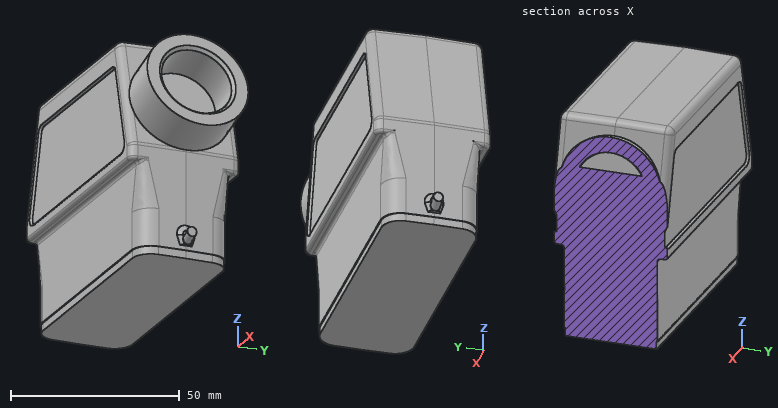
import cadquery as cq
import math

HOUSING_LENGTH = 79.2
HOUSING_WIDTH = 36.0
HOUSING_HEIGHT = 70.3
DRAFT_ANGLE = 1.0

HOOD_BOTTOM_Z = 29.3
BEND_Z = 34.3
SLOPE_ANGLE = 15.0
HOOD_EDGE_RADIUS = 2.5
BEND_RADIUS = 4.0
SHELF_RADIUS = 1.0

BASE_WIDTH = 29.6
BASE_OVERLAP = 2.5
CORNER_RADIUS_LOW = 6.2
CORNER_RADIUS_TOP = 2.8
CORNER_TAPER_Z = 14.5
FOOT_HEIGHT = 2.5
FOOT_INSET = 0.27

PANEL_BOTTOM_Z = 32.7
PANEL_TOP_Z = 62.4
PANEL_END_MARGIN = 3.9
PANEL_CORNER_RADIUS = 2.5
PANEL_DEPTH = 0.8
PANEL_WALL_ANGLE = 30.0

COLLAR_DIAMETER = 32.5
COLLAR_LENGTH = 13.5
COLLAR_EMBED = 8.0
BORE_DIAMETER = 22.5
BORE_CHAMFER = 1.0

PEG_DIAMETER = 3.0
PEG_SPAN = 88.3
PEG_Z = 6.85
PEG_EMBED = 1.5
FLARE_LENGTH = 1.2
FLARE_RADIUS = 2.9
FLARE_RISE = 0.6
KEEL_ROOT_WIDTH = 3.8
KEEL_TIP_WIDTH = 2.4
KEEL_BOTTOM_Z = 3.9

EDGE_SEARCH = 1.0
HALF_LENGTH = HOUSING_LENGTH / 2
HALF_WIDTH = HOUSING_WIDTH / 2
SLOPE_TAN = math.tan(math.radians(SLOPE_ANGLE))
DRAFT_TAN = math.tan(math.radians(DRAFT_ANGLE))


def slope_x(z):
    """Mid-plane half length of the sloping end at height z."""
    return HALF_LENGTH - (z - BEND_Z) * SLOPE_TAN


def mirrored_outline(half_points):
    """Close a right-hand chain of (x, z) points with its mirror image."""
    return half_points + [(-x, z) for x, z in reversed(half_points)]


def cross_edges(body, z):
    """Edges that run across the housing near height z."""
    band = cq.selectors.BoxSelector(
        (-HOUSING_LENGTH, -HALF_WIDTH + EDGE_SEARCH, z - EDGE_SEARCH),
        (HOUSING_LENGTH, HALF_WIDTH - EDGE_SEARCH, z + EDGE_SEARCH),
    )
    return body.edges(band).edges("not |X")


def make_half_hood():
    """Hood on the -Y side of the mid-plane, with all its outer edges rounded."""
    outline = mirrored_outline([
        (HALF_LENGTH, 0),
        (HALF_LENGTH, BEND_Z),
        (slope_x(HOUSING_HEIGHT), HOUSING_HEIGHT),
    ])
    half = cq.Workplane("XZ").polyline(outline).close().extrude(HALF_WIDTH, taper=DRAFT_ANGLE)
    below_hood = cq.Workplane("XY").box(
        2 * HOUSING_LENGTH, 2 * HOUSING_WIDTH, HOOD_BOTTOM_Z, centered=(True, True, False)
    )
    half = half.cut(below_hood)

    half = cross_edges(half, BEND_Z).fillet(BEND_RADIUS)
    top_corners = cross_edges(half, HOUSING_HEIGHT)
    side_outline = half.faces("<Y").edges("not <Z")
    half = side_outline.add(top_corners).fillet(HOOD_EDGE_RADIUS)
    return half.faces("<Z").edges("not >Y").fillet(SHELF_RADIUS)


def half_base_section(z, corner_radius, inset=0.0):
    """Half footprint of the base at height z, its two outer corners rounded."""
    half_width = BASE_WIDTH / 2 - inset
    mid_x = HALF_LENGTH - inset
    side_x = mid_x - half_width * DRAFT_TAN
    points = [(-mid_x, 0), (-side_x, -half_width), (side_x, -half_width), (mid_x, 0), (-mid_x, 0)]
    section = cq.Sketch().polygon(points).vertices("<Y").fillet(corner_radius).reset()
    return section.moved(cq.Location(cq.Vector(0, 0, z)))


def make_half_base():
    """Base on the -Y side; its corner rounding shrinks towards the hood."""
    top_z = HOOD_BOTTOM_Z + BASE_OVERLAP
    base = (
        cq.Workplane("XY")
        .placeSketch(half_base_section(0, CORNER_RADIUS_LOW - FOOT_INSET, FOOT_INSET))
        .extrude(FOOT_HEIGHT)
    )
    levels = [
        (FOOT_HEIGHT, CORNER_RADIUS_LOW),
        (CORNER_TAPER_Z, CORNER_RADIUS_LOW),
        (HOOD_BOTTOM_Z, CORNER_RADIUS_TOP),
        (top_z, CORNER_RADIUS_TOP),
    ]
    for (low_z, low_radius), (high_z, high_radius) in zip(levels, levels[1:]):
        step = (
            cq.Workplane("XY")
            .placeSketch(half_base_section(low_z, low_radius), half_base_section(high_z, high_radius))
            .loft(ruled=True)
        )
        base = base.union(step)
    return base


def make_half_body():
    """Hood and base on the -Y side, with a cove where the base wall meets the hood's underside."""
    body = make_half_hood().union(make_half_base()).clean()
    wall_y = -BASE_WIDTH / 2
    near_wall = cq.selectors.BoxSelector(
        (-HALF_LENGTH, wall_y - SHELF_RADIUS / 2, HOOD_BOTTOM_Z - SHELF_RADIUS / 2),
        (HALF_LENGTH, wall_y + CORNER_RADIUS_TOP, HOOD_BOTTOM_Z + SHELF_RADIUS / 2),
    )
    return body.edges(near_wall).fillet(SHELF_RADIUS)


def make_panel_recess():
    """Shallow sloping-walled pocket in the -Y face of the hood."""
    margin_x = PANEL_END_MARGIN / math.cos(math.radians(SLOPE_ANGLE))
    outline = mirrored_outline([
        (slope_x(PANEL_BOTTOM_Z) - margin_x, PANEL_BOTTOM_Z),
        (slope_x(PANEL_TOP_Z) - margin_x, PANEL_TOP_Z),
    ])
    section = cq.Sketch().polygon(outline + outline[:1]).vertices().fillet(PANEL_CORNER_RADIUS).reset()
    return (
        cq.Workplane("XZ", origin=(0, -HALF_WIDTH, 0))
        .placeSketch(section)
        .extrude(-PANEL_DEPTH, taper=PANEL_WALL_ANGLE)
    )


def collar_plane():
    """Plane on the +X slope, facing outwards, where the collar touches the bend."""
    tilt = math.radians(SLOPE_ANGLE)
    along_slope = COLLAR_DIAMETER / 2
    center = (HALF_LENGTH - along_slope * math.sin(tilt), 0, BEND_Z + along_slope * math.cos(tilt))
    return cq.Plane(origin=center, xDir=(0, 1, 0), normal=(math.cos(tilt), 0, math.sin(tilt)))


def make_collar():
    return (
        cq.Workplane(collar_plane())
        .workplane(offset=-COLLAR_EMBED)
        .circle(COLLAR_DIAMETER / 2)
        .extrude(COLLAR_EMBED + COLLAR_LENGTH)
    )


def make_bore():
    mouth = cq.Workplane(collar_plane()).workplane(offset=COLLAR_LENGTH)
    bore = mouth.circle(BORE_DIAMETER / 2).extrude(-COLLAR_LENGTH)
    lead_in = (
        mouth.circle(BORE_DIAMETER / 2 + BORE_CHAMFER)
        .workplane(offset=-BORE_CHAMFER)
        .circle(BORE_DIAMETER / 2)
        .loft()
    )
    return bore.union(lead_in)


def end_circle(x, z, radius):
    """Circular wire that faces X, centered on the mid-plane."""
    return cq.Wire.makeCircle(radius, cq.Vector(x, 0, z), cq.Vector(1, 0, 0))


def end_trapezoid(x, top_width, bottom_width):
    """Trapezoid wire that faces X, from the peg axis down to the keel bottom."""
    corners = [
        (x, -top_width / 2, PEG_Z),
        (x, top_width / 2, PEG_Z),
        (x, bottom_width / 2, KEEL_BOTTOM_Z),
        (x, -bottom_width / 2, KEEL_BOTTOM_Z),
    ]
    return cq.Wire.makePolygon([cq.Vector(*corner) for corner in corners], close=True)


def ruled_solid(*wires):
    return cq.Workplane(cq.Solid.makeLoft(list(wires), True))


def make_peg():
    """Peg on the +X end, with a flared root above and a flat-bottomed keel below."""
    root_x = HALF_LENGTH - PEG_EMBED
    flare_x = HALF_LENGTH + FLARE_LENGTH
    tip_x = PEG_SPAN / 2
    radius = PEG_DIAMETER / 2
    flare_z = PEG_Z + FLARE_RISE
    tip = end_circle(tip_x, PEG_Z, radius)
    shaft = ruled_solid(end_circle(root_x, PEG_Z, radius), tip)
    flare = ruled_solid(
        end_circle(root_x, flare_z, FLARE_RADIUS),
        end_circle(HALF_LENGTH, flare_z, FLARE_RADIUS),
        end_circle(flare_x, PEG_Z, radius),
    )
    keel_root = ruled_solid(
        end_trapezoid(root_x, 2 * FLARE_RADIUS, KEEL_ROOT_WIDTH),
        end_trapezoid(HALF_LENGTH, 2 * FLARE_RADIUS, KEEL_ROOT_WIDTH),
        end_trapezoid(flare_x, PEG_DIAMETER, KEEL_TIP_WIDTH),
    )
    keel = ruled_solid(end_circle(flare_x, KEEL_BOTTOM_Z + radius, radius), tip)
    return shaft.union(flare).union(keel_root).union(keel)


def make_housing():
    half = make_half_body().cut(make_panel_recess())
    housing = half.union(half.mirror("XZ"))
    housing = housing.union(make_collar()).cut(make_bore())
    peg = make_peg()
    return housing.union(peg).union(peg.mirror("YZ"))


result = make_housing()